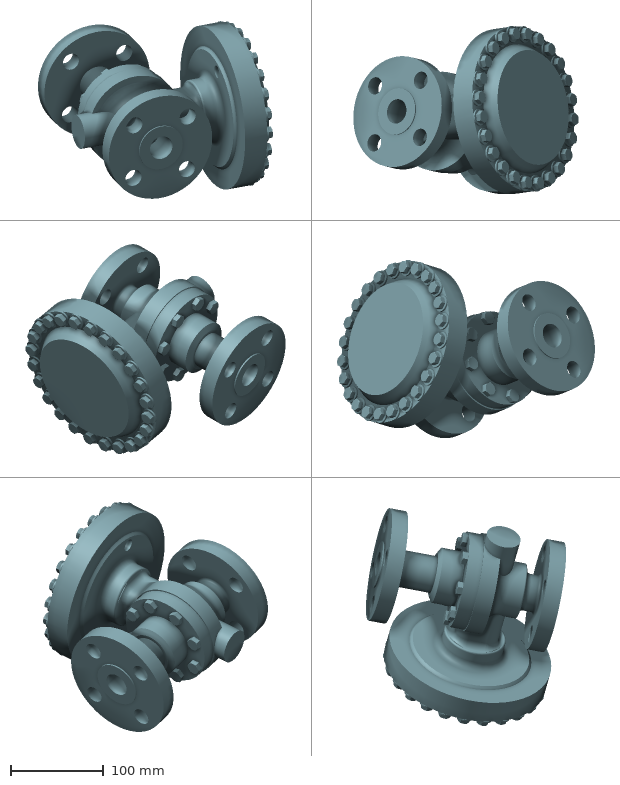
import cadquery as cq
import math


overall_length = 214.8
head_trim_angle = 30

disc_bolt_count = 24
disc_bolt_circle = 81.6
disc_bolt_corner_radius = 7.0
disc_bolt_height = 5.5
washer_radius = 17.8 / 2
washer_thickness = 2.0
port_radius = 6.9
port_circle = 54.8
port_angle = 70
port_depth = 12.9

right_end = 72.2
left_end = disc_bolt_circle + washer_radius - overall_length
raised_face_height = 1.5
raised_face_radius = 25.3
left_flange_radius = 61.9
left_flange_inner = -104.8
right_flange_radius = 60.5
right_flange_inner = 52.6
pipe_radius = 20.2
pipe_fillet = 3.0
collar_start = -62.7
collar_radius = 30.3
collar_face_radius = 23.8
collar_chamfer_length = 3.9
bonnet_start = -34.8
bonnet_radius = 52.5
body_start = -18.7
body_radius = 54.0
body_fillet = 16.0
body_end = 35.0
body_end_round = 1.5
outlet_fillet = 6.2
bore_radius = 13.3

pattern_tilt = -1.0
flange_hole_count = 4
flange_hole_circle = 44.2
flange_hole_radius = 9.5
bonnet_bolt_count = 8
bonnet_bolt_circle = 44.2
bonnet_bolt_corner_radius = 7.7
bonnet_bolt_height = 5.8
bonnet_bolt_twist = -8

nozzle_radius = 18.7
nozzle_end = -66.8

stem_width = 47.7
stem_corner_radius = 13.0
stem_fillet = 7.0
neck_bottom = 67.5
neck_radius = 34.2
neck_round = 2.1
neck_fillet = 7.7
rim_bottom = 88.0
rim_height = 3.0
rim_radius = 67.7
disc_bottom = rim_bottom + rim_height
disc_top = 117.0
disc_radius = 89.8
cover_top = 130.5
cover_top_radius = 62.5
cover_slope = 30
cover_base_radius = cover_top_radius + (cover_top - disc_top) * math.tan(math.radians(cover_slope))


def polar(radius, degrees):
    angle = math.radians(degrees)
    return (radius * math.cos(angle), radius * math.sin(angle))


def quarter_arc_middle(center, radius, x_side, y_side):
    """Middle of the quarter arc that lies on the given sides of its center."""
    reach = radius * math.sqrt(0.5)
    return (center[0] + x_side * reach, center[1] + y_side * reach)


def across_x(x):
    """Workplane normal to X whose local axes are Y and Z."""
    return cq.Workplane("YZ", origin=(x, 0, 0))


def across_y(y):
    """Workplane facing +Y whose local axes are X and -Z."""
    return cq.Workplane("XZ", origin=(0, y, 0)).transformed(rotate=(180, 0, 0))


def hex_head(corner_radius, height):
    """Hexagonal head on the XY plane, its end corners trimmed by a cone."""
    flat_radius = corner_radius * math.cos(math.radians(30))
    trim_depth = (corner_radius - flat_radius) * math.tan(math.radians(head_trim_angle))
    corners = [polar(corner_radius, 30 + 60 * corner) for corner in range(6)]
    prism = cq.Workplane("XY").polyline(corners).close().extrude(height)
    envelope = (
        cq.Workplane("XZ")
        .polyline(
            [
                (0, 0),
                (corner_radius, 0),
                (corner_radius, height - trim_depth),
                (flat_radius, height),
                (0, height),
            ]
        )
        .close()
        .revolve(360, (0, 0, 0), (0, 1, 0))
    )
    return prism.intersect(envelope)


def head_ring(base, head, count, circle, first_angle, twist):
    """Ring of heads on a base plane; without twist each has a flat facing outward."""
    heads = cq.Workplane("XY")
    for index in range(count):
        angle = first_angle + index * 360 / count
        x, y = polar(circle, angle)
        spot = cq.Location(cq.Vector(x, y, 0), cq.Vector(0, 0, 1), angle + twist)
        heads = heads.add(head.val().moved(base.plane.location * spot))
    return heads.combine()


def flow_line():
    """Revolved profile from the left flange to the right flange."""
    chamfer_end = collar_start + collar_chamfer_length
    round_start = body_end - body_end_round
    outlet_start = body_end + outlet_fillet
    pipe_end = right_flange_inner - pipe_fillet
    body_arc_center = (body_fillet, collar_radius + body_fillet)
    round_center = (round_start, collar_radius - body_end_round)
    outlet_arc_center = (outlet_start, pipe_radius + outlet_fillet)
    pipe_arc_center = (pipe_end, pipe_radius + pipe_fillet)
    profile = (
        cq.Workplane("XY")
        .moveTo(left_end, 0)
        .lineTo(left_end, raised_face_radius)
        .lineTo(left_end + raised_face_height, raised_face_radius)
        .lineTo(left_end + raised_face_height, left_flange_radius)
        .lineTo(left_flange_inner, left_flange_radius)
        .lineTo(left_flange_inner, pipe_radius)
        .lineTo(collar_start, pipe_radius)
        .lineTo(collar_start, collar_face_radius)
        .lineTo(chamfer_end, collar_radius)
        .lineTo(bonnet_start, collar_radius)
        .lineTo(bonnet_start, bonnet_radius)
        .lineTo(body_start, bonnet_radius)
        .lineTo(body_start, body_radius)
        .lineTo(0, body_radius)
        .lineTo(0, collar_radius + body_fillet)
        .threePointArc(
            quarter_arc_middle(body_arc_center, body_fillet, -1, -1),
            (body_fillet, collar_radius),
        )
        .lineTo(round_start, collar_radius)
        .threePointArc(
            quarter_arc_middle(round_center, body_end_round, 1, 1),
            (body_end, collar_radius - body_end_round),
        )
        .lineTo(body_end, pipe_radius + outlet_fillet)
        .threePointArc(
            quarter_arc_middle(outlet_arc_center, outlet_fillet, -1, -1),
            (outlet_start, pipe_radius),
        )
        .lineTo(pipe_end, pipe_radius)
        .threePointArc(
            quarter_arc_middle(pipe_arc_center, pipe_fillet, 1, -1),
            (right_flange_inner, pipe_radius + pipe_fillet),
        )
        .lineTo(right_flange_inner, right_flange_radius)
        .lineTo(right_end - raised_face_height, right_flange_radius)
        .lineTo(right_end - raised_face_height, raised_face_radius)
        .lineTo(right_end, raised_face_radius)
        .lineTo(right_end, 0)
        .close()
    )
    return profile.revolve(360, (0, 0, 0), (1, 0, 0))


def bonnet_bolts():
    base = cq.Workplane("ZY", origin=(bonnet_start, 0, 0))
    head = hex_head(bonnet_bolt_corner_radius, bonnet_bolt_height)
    first_angle = 180 / bonnet_bolt_count - pattern_tilt
    return head_ring(
        base, head, bonnet_bolt_count, bonnet_bolt_circle, first_angle, bonnet_bolt_twist
    )


def flange_holes(x_start, x_end):
    return (
        across_x(x_start)
        .polarArray(flange_hole_circle, 45 + pattern_tilt, 360, flange_hole_count)
        .circle(flange_hole_radius)
        .extrude(x_end - x_start)
    )


def blind_bore(x_start, x_end):
    return across_x(x_start).circle(bore_radius).extrude(x_end - x_start)


def nozzle():
    return across_y(nozzle_end).circle(nozzle_radius).extrude(-nozzle_end)


def stem():
    """Rounded square stem, its flare limited to the flat under the neck."""
    post = (
        across_y(0)
        .rect(stem_width, stem_width)
        .extrude(neck_bottom)
        .edges("|Y")
        .fillet(stem_corner_radius)
    )
    plate_size = stem_width + 4 * stem_fillet
    plate_thickness = neck_round
    plate = across_y(neck_bottom).rect(plate_size, plate_size).extrude(plate_thickness)
    joint_reach = stem_width / 2 + stem_fillet
    joint_height = plate_thickness / 2
    joint = cq.selectors.BoxSelector(
        (-joint_reach, neck_bottom - joint_height, -joint_reach),
        (joint_reach, neck_bottom + joint_height, joint_reach),
    )
    flared = post.union(plate).edges(joint).fillet(stem_fillet)
    neck_flat = across_y(0).circle(neck_radius - neck_round).extrude(neck_bottom + plate_thickness)
    return flared.intersect(neck_flat)


def neck():
    return (
        across_y(neck_bottom)
        .circle(neck_radius)
        .extrude(rim_bottom - neck_bottom)
        .faces("<Y")
        .edges()
        .fillet(neck_round)
    )


def drive_disc():
    """Revolved rim, disc and tapered cover with the fillet above the neck."""
    fillet_bottom = rim_bottom - neck_fillet
    fillet_outer = neck_radius + neck_fillet
    profile = (
        cq.Workplane("XY")
        .moveTo(0, fillet_bottom)
        .lineTo(neck_radius, fillet_bottom)
        .threePointArc(
            quarter_arc_middle((fillet_outer, fillet_bottom), neck_fillet, -1, 1),
            (fillet_outer, rim_bottom),
        )
        .lineTo(rim_radius - rim_height, rim_bottom)
        .lineTo(rim_radius, disc_bottom)
        .lineTo(disc_radius, disc_bottom)
        .lineTo(disc_radius, disc_top)
        .lineTo(cover_base_radius, disc_top)
        .lineTo(cover_top_radius, cover_top)
        .lineTo(0, cover_top)
        .close()
    )
    return profile.revolve(360, (0, 0, 0), (0, 1, 0))


def disc_bolts():
    washers = (
        across_y(disc_top)
        .polarArray(disc_bolt_circle, 0, 360, disc_bolt_count)
        .circle(washer_radius)
        .extrude(washer_thickness)
    )
    head = hex_head(disc_bolt_corner_radius, disc_bolt_height)
    head_base = across_y(disc_top + washer_thickness)
    heads = head_ring(head_base, head, disc_bolt_count, disc_bolt_circle, 0, 0)
    return washers.union(heads)


def port():
    """Blind hole in the rim face on the stem side of the disc."""
    x, z = polar(port_circle, port_angle)
    return across_y(rim_bottom).center(x, -z).circle(port_radius).extrude(port_depth)


result = (
    stem()
    .union(neck())
    .union(drive_disc())
    .union(disc_bolts())
    .union(flow_line())
    .union(bonnet_bolts())
    .union(nozzle())
    .cut(flange_holes(left_end, left_flange_inner))
    .cut(flange_holes(right_flange_inner, right_end))
    .cut(blind_bore(left_end, collar_start))
    .cut(blind_bore(right_end, body_end))
    .cut(port())
)